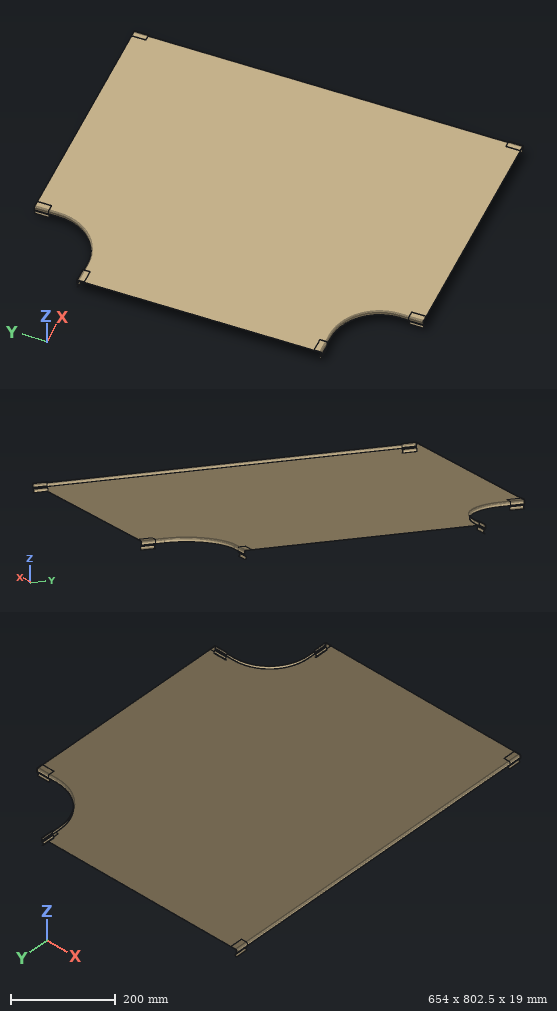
import cadquery as cq

overall_x = 654.0
overall_y = 802.5
overall_z = 19.0
run_width = 506.0

cover_sheet = 1.0
cover_height = 9.0
cover_bend = 2.8
straight_length = 49.0

clip_sheet = 1.0
clip_length = 30.0
clip_top_width = 16.0
clip_wall_height = 9.0
clip_hook_inset = 2.0
clip_hook_top = 12.0
clip_hook_depth = 2.8
clip_bend = 2.8
clip_clearance = 0.65

x_end = -overall_x / 2
x_back = overall_x / 2
x_front = x_back - run_width
y_end = overall_y / 2
y_branch = run_width / 2

flange_inset = clip_sheet + clip_clearance
cover_top = -clip_sheet
cover_bottom = cover_top - cover_height
edge_back = x_back - flange_inset
edge_front = x_front + flange_inset
edge_branch = y_branch - flange_inset
arc_x = x_end + straight_length
arc_y = y_end - straight_length


def cover_block(inset):
    """T-shaped block with rounded upper edges; its outline and top lie the inset inside the cover."""
    front = edge_front + inset
    back = edge_back - inset
    side = edge_branch - inset
    top = cover_top - inset
    arc_radius = front - arc_x
    outline = (
        cq.Workplane("XY", origin=(0, 0, cover_bottom))
        .moveTo(back, -y_end)
        .lineTo(back, y_end)
        .lineTo(front, y_end)
        .lineTo(front, arc_y)
        .radiusArc((arc_x, side), arc_radius)
        .lineTo(x_end, side)
        .lineTo(x_end, -side)
        .lineTo(arc_x, -side)
        .radiusArc((front, -arc_y), arc_radius)
        .lineTo(front, -y_end)
        .close()
    )
    return (
        outline.extrude(top - cover_bottom)
        .faces(">Z")
        .edges("not(<X or >Y or <Y)")
        .fillet(cover_bend - inset)
    )


def make_cover():
    """Sheet with a downturned flange on every edge but the three open ends."""
    return cover_block(0).cut(cover_block(cover_sheet))


def make_clip():
    """Clip running along +Y from the origin, outer wall at X = 0, hooking over towards +X."""
    hook_waist = clip_hook_inset + clip_hook_depth
    hook_inner_end = clip_hook_inset + clip_sheet
    hook_middle = -(clip_hook_top + overall_z) / 2
    profile = (
        cq.Workplane("XZ")
        .moveTo(clip_top_width, 0)
        .lineTo(clip_bend, 0)
        .radiusArc((0, -clip_bend), -clip_bend)
        .lineTo(0, -clip_wall_height)
        .lineTo(clip_hook_inset, -clip_hook_top)
        .threePointArc((hook_waist, hook_middle), (clip_hook_inset, -overall_z))
        .lineTo(hook_inner_end, -overall_z)
        .threePointArc((hook_waist + clip_sheet, hook_middle), (hook_inner_end, -clip_hook_top))
        .lineTo(clip_sheet, -clip_wall_height)
        .lineTo(clip_sheet, -clip_bend)
        .radiusArc((clip_bend, -clip_sheet), clip_bend - clip_sheet)
        .lineTo(clip_top_width, -clip_sheet)
        .close()
    )
    return profile.extrude(-clip_length)


def make_clips():
    """One clip on each side of the three open ends."""
    clip = make_clip()
    far_front = clip.translate((x_front, y_end - clip_length, 0))
    far_back = clip.mirror("YZ").translate((x_back, y_end - clip_length, 0))
    far_branch = clip.rotate((0, 0, 0), (0, 0, 1), -90).translate((x_end, y_branch, 0))
    clips = []
    for far_clip in (far_front, far_back, far_branch):
        clips.append(far_clip.val())
        clips.append(far_clip.mirror("XZ").val())
    return clips


cover = make_cover()
clips = make_clips()
result = cq.Compound.makeCompound([cover.val(), *clips])